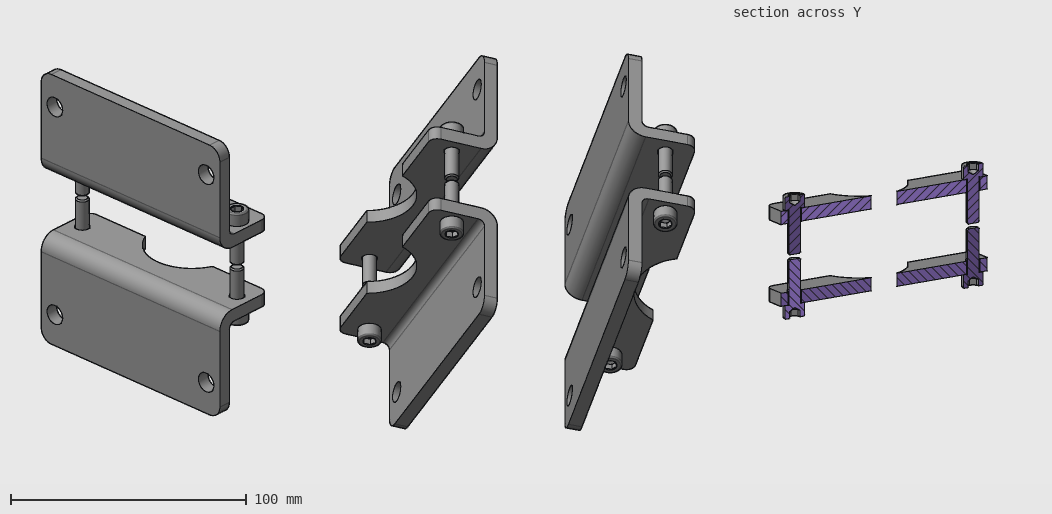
import cadquery as cq
import math

overall_height = 130.0
bracket_width = 104.0
bracket_depth = 30.0
gap = 30.0
thickness = 6.0

bend_inner_radius = 3.0
bend_outer_radius = 7.5
wall_corner_radius = 6.0
shelf_corner_radius = 4.0

mount_hole_diameter = 9.0
mount_hole_spacing = 88.0
mount_hole_edge_distance = 15.0

cutout_radius = 21.0
cutout_depth = 13.0

screw_spacing = 90.0
screw_edge_distance = 12.0
screw_hole_diameter = 6.6
shank_diameter = 6.0
shank_length = 20.0
shank_chamfer = 0.6
head_diameter = 10.0
head_height = 6.0
head_fillet = 0.6
socket_across_flats = 5.0
socket_depth = 3.0
socket_rotation = 30.0
socket_point_angle = 120.0

shelf_bottom = gap / 2
shelf_top = shelf_bottom + thickness
bracket_top = overall_height / 2
mount_hole_z = bracket_top - mount_hole_edge_distance
screw_y = bracket_depth - screw_edge_distance
cutout_center_y = bracket_depth - cutout_depth + cutout_radius
screw_x_positions = (-screw_spacing / 2, screw_spacing / 2)


def bent_plate():
    """L-section across the full width, with both bend radii and rounded free corners."""
    plate = (
        cq.Workplane("YZ")
        .moveTo(0, shelf_bottom)
        .lineTo(bracket_depth, shelf_bottom)
        .lineTo(bracket_depth, shelf_top)
        .lineTo(thickness, shelf_top)
        .lineTo(thickness, bracket_top)
        .lineTo(0, bracket_top)
        .close()
        .extrude(bracket_width / 2, both=True)
    )
    outer_bend = cq.selectors.NearestToPointSelector((0, 0, shelf_bottom))
    inner_bend = cq.selectors.NearestToPointSelector((0, thickness, shelf_top))
    plate = plate.edges("|X").edges(outer_bend).fillet(bend_outer_radius)
    plate = plate.edges("|X").edges(inner_bend).fillet(bend_inner_radius)
    plate = plate.faces(">Z").edges("|Y").fillet(wall_corner_radius)
    return plate.faces(">Y").edges("|Z").fillet(shelf_corner_radius)


def make_bracket():
    """Upper bracket with its mounting holes, screw holes and round cutout."""
    mount_holes = (
        cq.Workplane("XZ")
        .pushPoints([(side * mount_hole_spacing / 2, mount_hole_z) for side in (-1, 1)])
        .circle(mount_hole_diameter / 2)
        .extrude(-thickness)
    )
    shelf_plane = cq.Workplane("XY", origin=(0, 0, shelf_bottom))
    screw_holes = (
        shelf_plane.pushPoints([(x, screw_y) for x in screw_x_positions])
        .circle(screw_hole_diameter / 2)
        .extrude(thickness)
    )
    cutout = shelf_plane.center(0, cutout_center_y).circle(cutout_radius).extrude(thickness)
    return bent_plate().cut(mount_holes).cut(screw_holes).cut(cutout)


def hex_socket():
    """Hexagonal recess below the head's top face, with a 45 degree mouth and a conical drill point."""
    across_corners = socket_across_flats / math.cos(math.pi / 6)
    point_radius = socket_across_flats / 2
    point_depth = point_radius / math.tan(math.radians(socket_point_angle / 2))
    socket_floor = head_height - socket_depth
    hexagon = (
        cq.Workplane("XY", origin=(0, 0, socket_floor))
        .polygon(6, across_corners)
        .extrude(socket_depth)
        .rotate((0, 0, 0), (0, 0, 1), socket_rotation)
    )
    drill_point = cq.Workplane(
        cq.Solid.makeCone(0, point_radius, point_depth, pnt=cq.Vector(0, 0, socket_floor - point_depth))
    )
    mouth_radius = across_corners / 2
    mouth_depth = mouth_radius - point_radius
    mouth = cq.Workplane(
        cq.Solid.makeCone(
            point_radius, mouth_radius, mouth_depth, pnt=cq.Vector(0, 0, head_height - mouth_depth)
        )
    )
    return hexagon.union(drill_point).union(mouth)


def make_screw():
    """Socket head cap screw pointing down, with the underside of its head on Z = 0."""
    head = (
        cq.Workplane("XY")
        .circle(head_diameter / 2)
        .extrude(head_height)
        .faces(">Z")
        .edges()
        .fillet(head_fillet)
    )
    shank = (
        cq.Workplane("XY")
        .circle(shank_diameter / 2)
        .extrude(-shank_length)
        .faces("<Z")
        .edges()
        .chamfer(shank_chamfer)
    )
    return head.union(shank).cut(hex_socket())


upper_bracket = make_bracket()
lower_bracket = upper_bracket.mirror("XY")
brackets = [upper_bracket.solids().val(), lower_bracket.solids().val()]

screws = []
for screw_x in screw_x_positions:
    upper_screw = make_screw().translate((screw_x, screw_y, shelf_top))
    lower_screw = upper_screw.mirror("XY")
    screws += [upper_screw.solids().val(), lower_screw.solids().val()]

result = cq.Compound.makeCompound([*brackets, *screws])